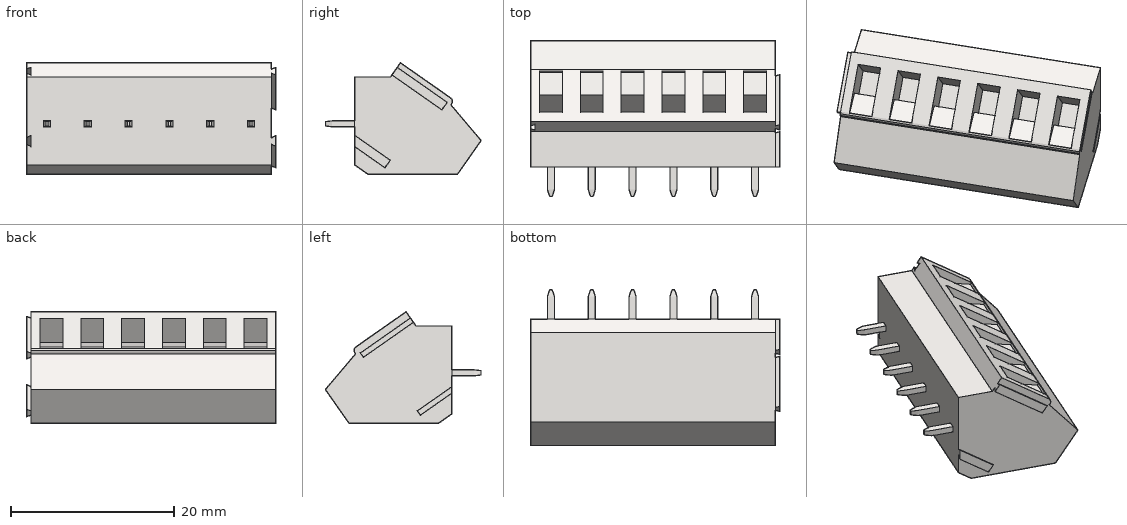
import cadquery as cq
import math


round_facets = 3

total_length = 30.55
total_depth = 19.1
height = 13.7
poles = 6
dovetail_height = 0.55
body_length = total_length - dovetail_height
pitch = body_length / poles

tilt = math.radians(35)
pin_length = 3.6
nose_y = total_depth - pin_length
nose_z = 4.15
rear_chamfer = 1.65
peak_y = 5.6
tilted_face_length = 8.03
peak_step_depth = 2.1
lip_depth = 0.67
lip_radius = 0.5

pocket_width = 2.8
pocket_rear = 1.4
pocket_front = 7.52
pocket_depth = 4.9
pocket_front_wall = 0.27
ramp_length = 2.7
ramp_angle = math.radians(20)

dovetail_neck = 0.65
dovetail_wide = 1.13
upper_dovetail_depth = 1.25
upper_dovetail_length = 7.5
lower_dovetail_depth = 11.05
lower_dovetail_length = 5.85

pin_width = 0.9
pin_thickness = 0.75
pin_z = 6.2
pin_straight = 2.75
pin_tip_radius = 0.25
pin_tip_thickness = 0.55


def tilted_point(distance, depth):
    """(Y, Z) of a point given by distance from the peak and depth below the tilted face."""
    y = peak_y + distance * math.cos(tilt) - depth * math.sin(tilt)
    z = height - distance * math.sin(tilt) - depth * math.cos(tilt)
    return y, z


def faceted_arc(center, radius, start_angle, sweep):
    """Corner points of an arc approximated by equal flat facets."""
    points = []
    for i in range(round_facets + 1):
        angle = start_angle + sweep * i / round_facets
        points.append((center[0] + radius * math.cos(angle), center[1] + radius * math.sin(angle)))
    return points


def make_body():
    step_foot = tilted_point(0, peak_step_depth)
    lip_center = tilted_point(tilted_face_length - lip_radius, lip_radius)
    lip_round = faceted_arc(lip_center, lip_radius, -tilt, math.pi / 2)
    outline = [
        (rear_chamfer, 0),
        (nose_y - nose_z * math.tan(tilt), 0),
        (nose_y, nose_z),
        tilted_point(tilted_face_length, lip_depth),
        *lip_round,
        (peak_y, height),
        step_foot,
        (0, step_foot[1]),
        (0, rear_chamfer * math.tan(tilt)),
    ]
    return cq.Workplane("YZ").polyline(outline).close().extrude(body_length)


def make_pocket(center_x):
    """Deep slot square to the tilted face, with a shallow ramp at its front end."""
    ramp_top = pocket_front - ramp_length
    ramp_top_depth = pocket_front_wall + ramp_length * math.tan(ramp_angle)
    outline = [
        tilted_point(pocket_rear, 0),
        tilted_point(pocket_front, 0),
        tilted_point(pocket_front, pocket_front_wall),
        tilted_point(ramp_top, ramp_top_depth),
        tilted_point(ramp_top, pocket_depth),
        tilted_point(pocket_rear, pocket_depth),
    ]
    return (
        cq.Workplane("YZ", origin=(center_x - pocket_width / 2, 0, 0))
        .polyline(outline)
        .close()
        .extrude(pocket_width)
    )


def make_dovetail(base_x, center_depth, length):
    """Dovetail bar parallel to the tilted face, narrow at base_x and widening toward +X."""
    start_y, start_z = tilted_point(0, center_depth)
    across_bar = cq.Plane(
        origin=(base_x, start_y, start_z),
        xDir=(1, 0, 0),
        normal=(0, math.cos(tilt), -math.sin(tilt)),
    )
    section = [
        (0, -dovetail_neck / 2),
        (dovetail_height, -dovetail_wide / 2),
        (dovetail_height, dovetail_wide / 2),
        (0, dovetail_neck / 2),
    ]
    return cq.Workplane(across_bar).polyline(section).close().extrude(length)


def make_dovetail_pair(base_x):
    upper = make_dovetail(base_x, upper_dovetail_depth, upper_dovetail_length)
    lower = make_dovetail(base_x, lower_dovetail_depth, lower_dovetail_length)
    in_front_of_rear = cq.Workplane("XY").box(
        total_length, nose_y, height, centered=False
    )
    return upper.union(lower.intersect(in_front_of_rear))


def make_pin(center_x):
    """Pin with a faceted round tip, whose thickness also tapers toward the tip."""
    tip_center = (0, pin_tip_radius * math.sin(math.pi / round_facets) - pin_length)
    plan_outline = [
        (-pin_width / 2, 0),
        (-pin_width / 2, -pin_straight),
        *faceted_arc(tip_center, pin_tip_radius, math.pi, math.pi),
        (pin_width / 2, -pin_straight),
        (pin_width / 2, 0),
    ]
    plan = (
        cq.Workplane("XY", origin=(center_x, 0, pin_z))
        .polyline(plan_outline)
        .close()
        .extrude(pin_thickness / 2, both=True)
    )
    side_outline = [
        (0, pin_thickness / 2),
        (-pin_straight, pin_thickness / 2),
        (-pin_length, pin_tip_thickness / 2),
        (-pin_length, -pin_tip_thickness / 2),
        (-pin_straight, -pin_thickness / 2),
        (0, -pin_thickness / 2),
    ]
    side = (
        cq.Workplane("YZ", origin=(center_x, 0, pin_z))
        .polyline(side_outline)
        .close()
        .extrude(pin_width, both=True)
    )
    return plan.intersect(side)


result = make_body()
result = result.cut(make_dovetail_pair(0))
result = result.union(make_dovetail_pair(body_length))

for pole in range(poles):
    pole_x = (pole + 0.5) * pitch
    result = result.cut(make_pocket(pole_x))
    result = result.union(make_pin(pole_x))